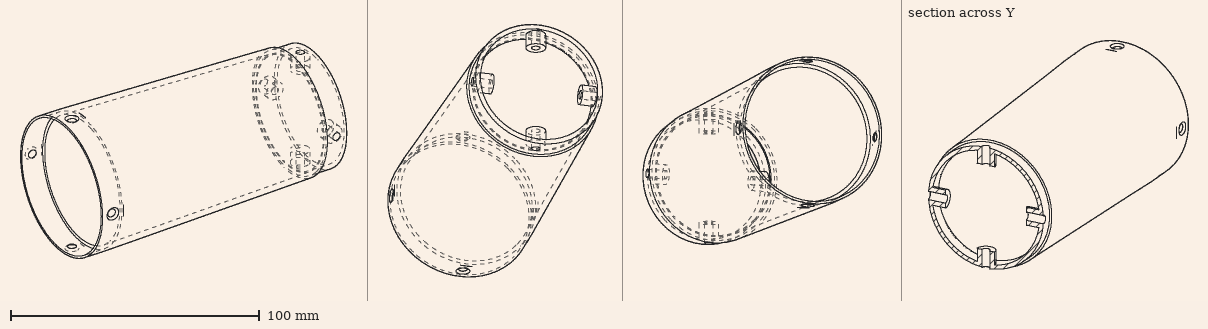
import cadquery as cq

total_length = 120.0
joint_length = 10.0
socket_outer_diameter = 60.0
socket_bore_diameter = 58.0
body_small_diameter = 55.0
body_bore_large_diameter = 55.0
body_bore_small_diameter = 50.0
spigot_outer_diameter = 53.0
spigot_bore_diameter = 49.0

screw_angles = (0, 90, 180, 270)
screw_hole_diameter = 3.4
countersink_diameter = 5.6
countersink_depth = 1.0
flat_depth = 0.1
boss_diameter = 8.0
boss_height = 6.0

socket_end = -total_length / 2
spigot_end = total_length / 2
body_start = socket_end + joint_length
body_end = spigot_end - joint_length
socket_screw_y = socket_end + joint_length / 2
spigot_screw_y = spigot_end - joint_length / 2
socket_outer_radius = socket_outer_diameter / 2
socket_bore_radius = socket_bore_diameter / 2
spigot_outer_radius = spigot_outer_diameter / 2
spigot_bore_radius = spigot_bore_diameter / 2
flat_radius = socket_outer_radius - flat_depth
countersink_base_radius = flat_radius - countersink_depth
boss_tip_radius = spigot_bore_radius - boss_height
boss_root_radius = (spigot_bore_radius + spigot_outer_radius) / 2


def make_tube():
    """Revolve the wall section around the Y axis."""
    return (
        cq.Workplane("XY")
        .moveTo(socket_bore_radius, socket_end)
        .lineTo(socket_outer_radius, socket_end)
        .lineTo(socket_outer_radius, body_start)
        .lineTo(body_small_diameter / 2, body_end)
        .lineTo(spigot_outer_radius, body_end)
        .lineTo(spigot_outer_radius, spigot_end)
        .lineTo(spigot_bore_radius, spigot_end)
        .lineTo(spigot_bore_radius, body_end)
        .lineTo(body_bore_small_diameter / 2, body_end)
        .lineTo(body_bore_large_diameter / 2, body_start)
        .lineTo(socket_bore_radius, body_start)
        .close()
        .revolve(360, (0, 0, 0), (0, 1, 0))
    )


def make_boss():
    """Round screw boss reaching inwards from the spigot bore, rooted inside the wall."""
    return (
        cq.Workplane("XY", origin=(0, spigot_screw_y, boss_tip_radius))
        .circle(boss_diameter / 2)
        .extrude(boss_root_radius - boss_tip_radius)
    )


def make_spigot_hole():
    """Straight screw hole from the tube axis out through the boss and the spigot wall."""
    return (
        cq.Workplane("XY", origin=(0, spigot_screw_y, 0))
        .circle(screw_hole_diameter / 2)
        .extrude(socket_outer_radius)
    )


def make_socket_hole():
    """Countersunk hole: the cone opens from the screw size, just inside the bore, to the flat."""
    return (
        cq.Workplane("XZ", origin=(0, socket_screw_y, 0))
        .lineTo(screw_hole_diameter / 2, 0)
        .lineTo(screw_hole_diameter / 2, countersink_base_radius)
        .lineTo(countersink_diameter / 2, flat_radius)
        .lineTo(0, flat_radius)
        .close()
        .revolve(360, (0, 0, 0), (0, 1, 0))
    )


def make_flat_cutter():
    """Block that shaves a shallow flat along the socket at a screw position."""
    return (
        cq.Workplane("XY", origin=(0, socket_screw_y, flat_radius))
        .rect(boss_diameter, joint_length)
        .extrude(2 * flat_depth)
    )


def around_axis(shape):
    """Copies of a shape at every screw position around the Y axis."""
    return [shape.rotate((0, 0, 0), (0, 1, 0), angle) for angle in screw_angles]


body = make_tube()
for boss in around_axis(make_boss()):
    body = body.union(boss)
for cutter in (make_spigot_hole(), make_flat_cutter(), make_socket_hole()):
    for copy in around_axis(cutter):
        body = body.cut(copy)

result = body.solids()